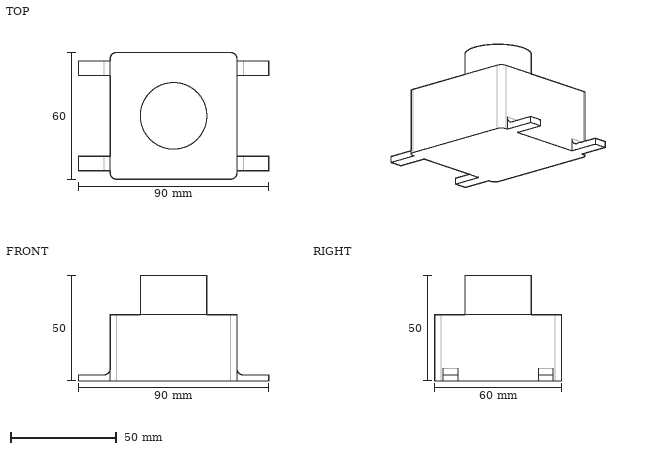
import cadquery as cq

body_side = 60.0
body_height = 31.5
corner_radius = 3.0

button_diameter = 31.5
overall_height = 50.0

overall_length = 90.0
terminal_width = 7.0
terminal_thickness = 3.0
terminal_root_radius = 3.0
terminal_center_y = 22.5

body_half = body_side / 2
terminal_length = (overall_length - body_side) / 2


def make_housing():
    block = cq.Workplane("XY").box(body_side, body_side, body_height, centered=(True, True, False))
    return block.edges("|Z").fillet(corner_radius)


def make_button():
    button_height = overall_height - body_height
    return (
        cq.Workplane("XY")
        .workplane(offset=body_height)
        .circle(button_diameter / 2)
        .extrude(button_height)
    )


def make_terminal(side, center_y):
    """Flat terminal flaring up into the housing wall; side is +1 or -1 along X."""
    wall_x = side * body_half
    tip_x = side * (body_half + terminal_length)
    root_x = side * (body_half + terminal_root_radius)
    root_top = terminal_thickness + terminal_root_radius
    profile = (
        cq.Workplane("XZ", origin=(0, center_y, 0))
        .moveTo(wall_x, 0)
        .lineTo(tip_x, 0)
        .lineTo(tip_x, terminal_thickness)
        .lineTo(root_x, terminal_thickness)
        .radiusArc((wall_x, root_top), side * terminal_root_radius)
        .close()
    )
    return profile.extrude(terminal_width / 2, both=True)


result = make_housing().union(make_button())
for x_side in (-1, 1):
    for y_side in (-1, 1):
        result = result.union(make_terminal(x_side, y_side * terminal_center_y))